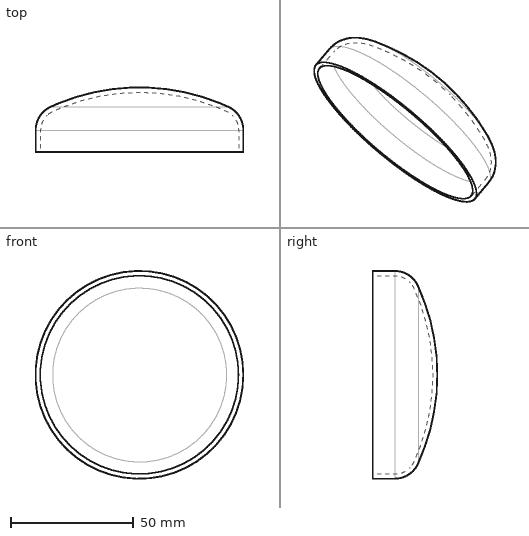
import cadquery as cq
import math

outer_diameter = 85.0
inner_diameter = 81.0
skirt_length = 9.0
inner_knuckle_radius = 8.5
inner_crown_radius = 85.0

wall = (outer_diameter - inner_diameter) / 2
outer_knuckle_radius = inner_knuckle_radius + wall
outer_crown_radius = inner_crown_radius + wall

knuckle_center_r = inner_diameter / 2 - inner_knuckle_radius
center_distance = inner_crown_radius - inner_knuckle_radius
crown_center_drop = math.sqrt(center_distance**2 - knuckle_center_r**2)
tangent_angle = math.acos(knuckle_center_r / center_distance)

total_depth = skirt_length + outer_crown_radius - crown_center_drop
rim_y = -total_depth / 2
skirt_end_y = rim_y + skirt_length
crown_center_y = skirt_end_y - crown_center_drop


def knuckle_point(radius, angle):
    """Point on the knuckle arc, as (distance from axis, y); angle 0 is where the skirt ends."""
    return (
        knuckle_center_r + radius * math.cos(angle),
        skirt_end_y + radius * math.sin(angle),
    )


def skirt_and_knuckle():
    """Revolved wall section from the open rim up to the tangent line with the crown."""
    return (
        cq.Workplane("XY")
        .moveTo(inner_diameter / 2, rim_y)
        .lineTo(outer_diameter / 2, rim_y)
        .lineTo(*knuckle_point(outer_knuckle_radius, 0))
        .threePointArc(
            knuckle_point(outer_knuckle_radius, tangent_angle / 2),
            knuckle_point(outer_knuckle_radius, tangent_angle),
        )
        .lineTo(*knuckle_point(inner_knuckle_radius, tangent_angle))
        .threePointArc(
            knuckle_point(inner_knuckle_radius, tangent_angle / 2),
            knuckle_point(inner_knuckle_radius, 0),
        )
        .close()
        .revolve(360, (0, 0, 0), (0, 1, 0))
    )


def crown():
    """Spherical shell kept only inside the cone that passes through the tangent circles."""
    cone_height = 2 * outer_crown_radius
    cone = (
        cq.Workplane("XY")
        .moveTo(0, crown_center_y)
        .lineTo(cone_height / math.tan(tangent_angle), crown_center_y + cone_height)
        .lineTo(0, crown_center_y + cone_height)
        .close()
        .revolve(360, (0, 0, 0), (0, 1, 0))
    )
    shell = cq.Workplane("XY").sphere(outer_crown_radius).cut(cq.Workplane("XY").sphere(inner_crown_radius))
    return shell.translate((0, crown_center_y, 0)).intersect(cone)


result = skirt_and_knuckle().union(crown()).solids()